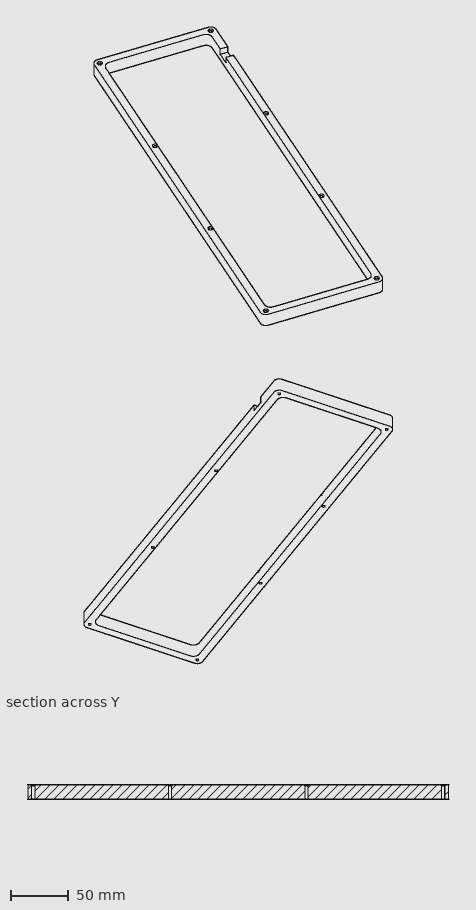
import cadquery as cq

length = 365.3
width = 115.5
height = 12.8
wall = 7.3
outer_radius = 5.0
inner_radius = 6.0

hole_diameter = 2.5
countersink_diameter = 4.5
countersink_angle = 90
holes_per_rail = 4
hole_inset = outer_radius
hole_pitch = (length - 2 * hole_inset) / (holes_per_rail - 1)
rail_spacing = width - 2 * hole_inset

notch_start = 30.5
notch_width = 12.0
notch_depth = 6.2


def rounded_block(size_x, size_y, radius):
    """Full-height block centred on the origin with rounded vertical edges."""
    block = cq.Workplane("XY").box(size_x, size_y, height, centered=(True, True, False))
    return block.edges("|Z").fillet(radius)


def make_frame():
    opening = rounded_block(length - 2 * wall, width - 2 * wall, inner_radius)
    return rounded_block(length, width, outer_radius).cut(opening)


def add_screw_holes(frame):
    """Countersunk through holes drilled from the top face."""
    return (
        frame.faces(">Z")
        .workplane(origin=(0, 0, height))
        .rarray(hole_pitch, rail_spacing, holes_per_rail, 2)
        .cskHole(hole_diameter, countersink_diameter, countersink_angle)
    )


def rail_notch():
    notch = cq.Workplane("XY").box(notch_width, wall, notch_depth, centered=False)
    return notch.translate((notch_start - length / 2, width / 2 - wall, height - notch_depth))


result = add_screw_holes(make_frame()).cut(rail_notch())